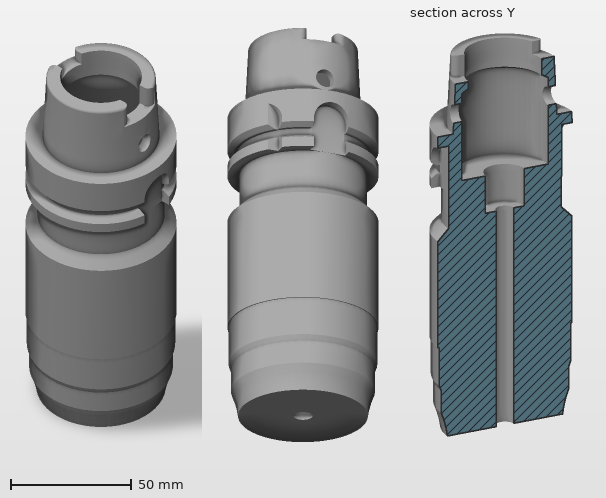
import cadquery as cq
import math

TOTAL_HEIGHT = 167.0
BODY_DIAMETER = 63.0
BODY_RADIUS = BODY_DIAMETER / 2

SHANK_LENGTH = 31.9
SHANK_BASE_RADIUS = 24.4
SHANK_TAPER = 0.1
SHANK_TIP_RADIUS = SHANK_BASE_RADIUS - SHANK_TAPER * SHANK_LENGTH / 2
SHANK_TIP_FILLET = 1.3

FLANGE_TOP = TOTAL_HEIGHT - SHANK_LENGTH
FLANGE_BOTTOM = 109.0
GROOVE_CENTRE = 116.9
GROOVE_FLOOR_WIDTH = 3.7
GROOVE_MOUTH_WIDTH = 7.0
GROOVE_FLANK_DEPTH = 2.5
GROOVE_FLOOR_RADIUS = 27.5

NECK_RADIUS = 26.5
NECK_BOTTOM = 93.0
SHOULDER_BOTTOM = NECK_BOTTOM - (BODY_RADIUS - NECK_RADIUS)
SLEEVE_DIAMETER = 62.0
SLEEVE_RADIUS = SLEEVE_DIAMETER / 2
SLEEVE_TOP = 40.2
SLEEVE_CHAMFER_TOP = 23.5
NOSE_DIAMETER = 60.0
NOSE_RADIUS = NOSE_DIAMETER / 2
NOSE_TOP = 21.0
NOSE_CONE_TOP = 11.0
NOSE_TIP_RADIUS = 27.0
NOSE_HOLLOW = 0.42

MOUTH_RADIUS = 17.0
MOUTH_DEPTH = 13.0
CAVITY_RADIUS = 20.0
CAVITY_FLARE_HEIGHT = 1.7
CAVITY_BOTTOM = 113.5
TUBE_BORE_RADIUS = 9.0
TUBE_BORE_BOTTOM = 96.9
THROUGH_RADIUS = 4.0

CROSS_HOLE_RADIUS = 4.0
CROSS_HOLE_Z = 144.0

RIM_SLOT_WIDTH = 12.5
RIM_SLOT_HALF_WIDTH = RIM_SLOT_WIDTH / 2
RIM_SLOT_ROUNDING = 2.5
RIM_SLOT_DEPTH_MINUS_X = 5.7
RIM_SLOT_DEPTH_PLUS_X = 9.7

FLANGE_SLOT_RADIUS = 7.8
FLANGE_SLOT_TOP = 130.0
FLANGE_SLOT_FLOOR_X = NECK_RADIUS
NOTCH_RADIUS = 9.0
NOTCH_TOP = 131.1
NOTCH_FLOOR_X = 20.0
NOTCH_EDGE_Y = 19.7


def turned_body():
    """Outer profile (radius, height) revolved about Z."""
    half_floor = GROOVE_FLOOR_WIDTH / 2
    half_mouth = GROOVE_MOUTH_WIDTH / 2
    flank_radius = BODY_RADIUS - GROOVE_FLANK_DEPTH
    upper_profile = [
        (NOSE_RADIUS, NOSE_TOP),
        (SLEEVE_RADIUS, SLEEVE_CHAMFER_TOP),
        (SLEEVE_RADIUS, SLEEVE_TOP),
        (BODY_RADIUS, SLEEVE_TOP),
        (BODY_RADIUS, SHOULDER_BOTTOM),
        (NECK_RADIUS, NECK_BOTTOM),
        (NECK_RADIUS, FLANGE_BOTTOM),
        (BODY_RADIUS, FLANGE_BOTTOM),
        (BODY_RADIUS, GROOVE_CENTRE - half_mouth),
        (flank_radius, GROOVE_CENTRE - half_floor),
        (GROOVE_FLOOR_RADIUS, GROOVE_CENTRE - half_floor),
        (GROOVE_FLOOR_RADIUS, GROOVE_CENTRE + half_floor),
        (flank_radius, GROOVE_CENTRE + half_floor),
        (BODY_RADIUS, GROOVE_CENTRE + half_mouth),
        (BODY_RADIUS, FLANGE_TOP),
        (SHANK_BASE_RADIUS, FLANGE_TOP),
        (SHANK_TIP_RADIUS, TOTAL_HEIGHT),
        (0, TOTAL_HEIGHT),
    ]
    nose_middle = ((NOSE_TIP_RADIUS + NOSE_RADIUS) / 2 - NOSE_HOLLOW, NOSE_CONE_TOP / 2)
    outline = (
        cq.Workplane("XZ")
        .lineTo(NOSE_TIP_RADIUS, 0)
        .threePointArc(nose_middle, (NOSE_RADIUS, NOSE_CONE_TOP))
        .polyline(upper_profile, includeCurrent=True)
        .close()
    )
    body = outline.revolve(360, (0, 0), (0, 1))
    return body.faces(">Z").edges().fillet(SHANK_TIP_FILLET)


def stepped_bore():
    """Axial bore: mouth, wider clamping cavity, tube bore and through hole."""
    mouth_bottom = TOTAL_HEIGHT - MOUTH_DEPTH
    profile = [
        (0, 0),
        (THROUGH_RADIUS, 0),
        (THROUGH_RADIUS, TUBE_BORE_BOTTOM),
        (TUBE_BORE_RADIUS, TUBE_BORE_BOTTOM),
        (TUBE_BORE_RADIUS, CAVITY_BOTTOM),
        (CAVITY_RADIUS, CAVITY_BOTTOM),
        (CAVITY_RADIUS, mouth_bottom - CAVITY_FLARE_HEIGHT),
        (MOUTH_RADIUS, mouth_bottom),
        (MOUTH_RADIUS, TOTAL_HEIGHT),
        (0, TOTAL_HEIGHT),
    ]
    return cq.Workplane("XZ").polyline(profile).close().revolve(360, (0, 0), (0, 1))


def cross_hole():
    """Hole along X through both walls of the shank."""
    hole = cq.Workplane("YZ").center(0, CROSS_HOLE_Z).circle(CROSS_HOLE_RADIUS)
    return hole.extrude(BODY_RADIUS, both=True)


def rim_slot(side, depth):
    """Slot through the rim on one X side, its outer corners rounded into the shank."""
    centre_y = RIM_SLOT_HALF_WIDTH + RIM_SLOT_ROUNDING
    centre_radius = SHANK_TIP_RADIUS - RIM_SLOT_ROUNDING
    centre_x = math.sqrt(centre_radius**2 - centre_y**2)
    end_angle = math.atan2(centre_y, centre_x)
    mid_angle = (end_angle - math.pi / 2) / 2

    def on_rounding(angle):
        return (
            centre_x + RIM_SLOT_ROUNDING * math.cos(angle),
            centre_y + RIM_SLOT_ROUNDING * math.sin(angle),
        )

    def placed(point, mirror=1):
        return (side * point[0], mirror * point[1])

    start = (centre_x, RIM_SLOT_HALF_WIDTH)
    middle = on_rounding(mid_angle)
    end = on_rounding(end_angle)
    outside = (BODY_RADIUS, end[1])
    outline = (
        cq.Workplane("XY", origin=(0, 0, TOTAL_HEIGHT - depth))
        .moveTo(0, -RIM_SLOT_HALF_WIDTH)
        .lineTo(*placed(start, -1))
        .threePointArc(placed(middle, -1), placed(end, -1))
        .lineTo(*placed(outside, -1))
        .lineTo(*placed(outside))
        .lineTo(*placed(end))
        .threePointArc(placed(middle), placed(start))
        .lineTo(0, RIM_SLOT_HALF_WIDTH)
        .close()
    )
    return outline.extrude(depth)


def flange_slot(side, centre_y, floor_x, radius, top_z):
    """Round-topped slot cut into the flange from one X side, open at the flange bottom."""
    arch_z = top_z - radius
    outline = (
        cq.Workplane("YZ", origin=(side * floor_x, 0, 0))
        .moveTo(centre_y - radius, FLANGE_BOTTOM)
        .lineTo(centre_y - radius, arch_z)
        .threePointArc((centre_y, top_z), (centre_y + radius, arch_z))
        .lineTo(centre_y + radius, FLANGE_BOTTOM)
        .close()
    )
    return outline.extrude(side * BODY_RADIUS)


result = turned_body().cut(stepped_bore()).cut(cross_hole())
result = result.cut(rim_slot(-1, RIM_SLOT_DEPTH_MINUS_X))
result = result.cut(rim_slot(1, RIM_SLOT_DEPTH_PLUS_X))
for slot_side in (-1, 1):
    result = result.cut(
        flange_slot(slot_side, 0, FLANGE_SLOT_FLOOR_X, FLANGE_SLOT_RADIUS, FLANGE_SLOT_TOP)
    )
result = result.cut(
    flange_slot(-1, NOTCH_EDGE_Y + NOTCH_RADIUS, NOTCH_FLOOR_X, NOTCH_RADIUS, NOTCH_TOP)
)